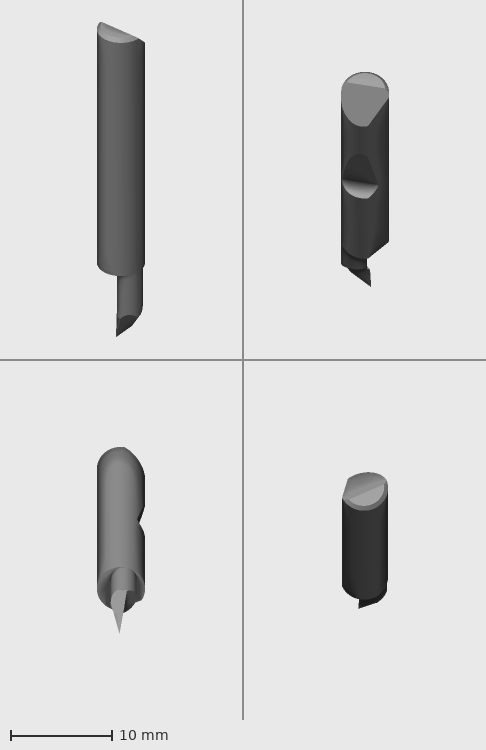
import cadquery as cq
import math

length = 37.88
shank_radius = 2.4
shank_bottom = 9.3
top_chamfer = 0.38
margin = 3.8

flat_distance = 1.95
flat_angle = 143.5

slope_start_y = -0.6

notch_top = 29.5
notch_bottom = 21.0
notch_floor_y = 1.1
notch_radius = 1.15

neck_radius = 1.3
neck_x = shank_radius - neck_radius

tip_x = -0.625
heel_x = -0.51
heel_z = 3.37
ledge_end_z = 3.55
rake_top = 3.85
edge_break_x = 1.345
edge_break_z = 2.2
outer_edge_z = 3.98
end_relief = 1.5
side_relief = 1.1


def make_shank():
    shank = (
        cq.Workplane("XY", origin=(0, 0, shank_bottom))
        .circle(shank_radius)
        .extrude(length - shank_bottom)
        .faces(">Z")
        .chamfer(top_chamfer)
    )
    flat = (
        cq.Workplane("XY")
        .center(flat_distance + margin / 2, 0)
        .rect(margin, 4 * shank_radius)
        .extrude(length)
        .rotate((0, 0, 0), (0, 0, 1), flat_angle)
    )
    slope_run = shank_radius + margin
    slope = (
        cq.Workplane("YZ")
        .moveTo(slope_start_y, length)
        .lineTo(slope_start_y + slope_run, length - slope_run)
        .lineTo(slope_start_y + slope_run, length)
        .close()
        .extrude(margin, both=True)
    )
    return shank.cut(flat).cut(slope).cut(make_notch())


def make_notch():
    """Long ramp running tangent into a rounded lower end."""
    center_z = notch_bottom + notch_radius
    ramp_run = shank_radius - notch_floor_y
    ramp_angle = math.atan2(ramp_run, notch_top - center_z)
    center_y = notch_floor_y + notch_radius

    def arc_point(angle):
        return (center_y - notch_radius * math.cos(angle), center_z + notch_radius * math.sin(angle))

    return (
        cq.Workplane("YZ")
        .moveTo(shank_radius, notch_top)
        .lineTo(*arc_point(-ramp_angle))
        .threePointArc(arc_point(-math.pi / 4), arc_point(-math.pi / 2))
        .lineTo(shank_radius + margin, notch_bottom)
        .lineTo(shank_radius + margin, notch_top)
        .close()
        .extrude(margin, both=True)
    )


def skewed_prism(points, shift_x, shift_z):
    """Sweep an XZ outline along Y, moving it by the shifts per unit toward -Y."""
    def wire_at(y):
        corners = [cq.Vector(x - shift_x * y, y, z - shift_z * y) for x, z in points]
        return cq.Wire.makePolygon(corners, close=True)

    return cq.Workplane(cq.Solid.makeLoft([wire_at(margin), wire_at(-margin)], True))


def make_cutter():
    blank = cq.Workplane("XY").center(neck_x, 0).circle(neck_radius).extrude(shank_bottom)
    tip = (
        cq.Workplane("XZ")
        .polyline([(tip_x, 0), (heel_x, heel_z), (neck_x, ledge_end_z), (neck_x, 0)])
        .close()
        .extrude(neck_radius)
    )
    cutter = blank.union(tip)

    rake = (
        cq.Workplane("YZ")
        .polyline([(0, -margin), (0, rake_top), (margin, rake_top + margin), (margin, -margin)])
        .close()
        .extrude(margin, both=True)
    )

    edges = [
        ((tip_x, 0), (edge_break_x, edge_break_z), end_relief),
        ((edge_break_x, edge_break_z), (shank_radius, outer_edge_z), 0),
    ]
    for (x_start, z_start), (x_end, z_end), relief in edges:
        grade = (z_end - z_start) / (x_end - x_start)
        left = x_start - margin
        right = x_end + margin
        below = -5 * margin
        end_cut = skewed_prism(
            [
                (left, z_start - grade * margin),
                (right, z_end + grade * margin),
                (right, below),
                (left, below),
            ],
            0,
            relief,
        )
        cutter = cutter.cut(end_cut)

    side_grade = (heel_x - tip_x) / heel_z
    side_cut = skewed_prism(
        [
            (tip_x - side_grade * margin, -margin),
            (heel_x + side_grade * margin, heel_z + margin),
            (heel_x - 3 * margin, heel_z + margin),
            (heel_x - 3 * margin, -margin),
        ],
        side_relief,
        0,
    )
    ledge_grade = (ledge_end_z - heel_z) / (neck_x - heel_x)
    under_ledge = (
        cq.Workplane("XZ")
        .polyline(
            [
                (heel_x - margin, heel_z - ledge_grade * margin),
                (neck_x + margin, ledge_end_z + ledge_grade * margin),
                (neck_x + margin, -margin),
                (heel_x - margin, -margin),
            ]
        )
        .close()
        .extrude(margin, both=True)
    )
    return cutter.cut(rake).cut(side_cut.intersect(under_ledge))


result = make_shank().union(make_cutter())